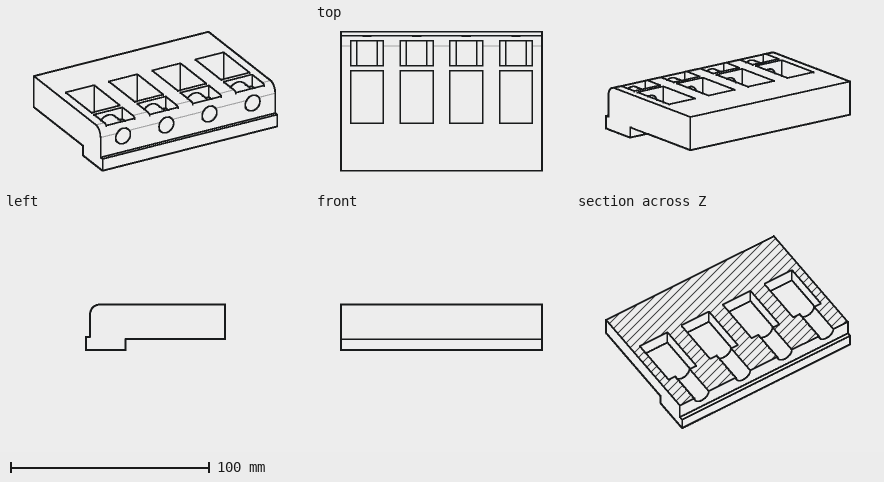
import cadquery as cq

length = 101.2
depth = 70.0
height = 23.0
slab_thickness = 17.5
foot_depth = 20.0
ledge_depth = 2.0
ledge_height = 6.7
top_edge_radius = 5.0

station_count = 4
station_pitch = 25.0
pocket_width = 16.5
wall = 2.5

rear_pocket_size = 12.6
rear_pocket_depth = 6.5
sleeve_radius = 5.3
bore_radius = 4.3
bore_axis_depth = 7.5

main_pocket_size = 26.3
main_pocket_depth = 15.3

body_rear = depth - ledge_depth
rear_pocket_rear = body_rear - wall
rear_pocket_front = rear_pocket_rear - rear_pocket_size
main_pocket_rear = rear_pocket_front - wall
bore_axis_height = height - bore_axis_depth

station_centers = [
    length / 2 + (index - (station_count - 1) / 2) * station_pitch
    for index in range(station_count)
]


def make_body():
    """Extrude the stepped side profile along X and round the top rear edge."""
    slab_bottom = height - slab_thickness
    profile = [
        (0, slab_bottom),
        (depth - foot_depth, slab_bottom),
        (depth - foot_depth, 0),
        (depth, 0),
        (depth, ledge_height),
        (body_rear, ledge_height),
        (body_rear, height),
        (0, height),
    ]
    body = cq.Workplane("YZ").polyline(profile).close().extrude(length)
    return body.faces(">Z").edges(">Y").fillet(top_edge_radius)


def make_pocket(center_x, rear, size, pocket_depth):
    """Box that cuts a rectangular pocket down from the top face."""
    center_y = rear - size / 2
    pocket = cq.Workplane("XY", origin=(center_x, center_y, height - pocket_depth))
    return pocket.rect(pocket_width, size).extrude(pocket_depth)


def make_rod(center_x, radius, front, rear):
    """Cylinder along Y on the bore axis."""
    axis = cq.Plane(origin=(center_x, front, bore_axis_height), xDir=(1, 0, 0), normal=(0, 1, 0))
    return cq.Workplane(axis).circle(radius).extrude(rear - front)


result = make_body()
for center_x in station_centers:
    result = result.cut(make_pocket(center_x, rear_pocket_rear, rear_pocket_size, rear_pocket_depth))
    result = result.cut(make_pocket(center_x, main_pocket_rear, main_pocket_size, main_pocket_depth))
    result = result.union(make_rod(center_x, sleeve_radius, rear_pocket_front, rear_pocket_rear))
    result = result.cut(make_rod(center_x, bore_radius, main_pocket_rear, body_rear))